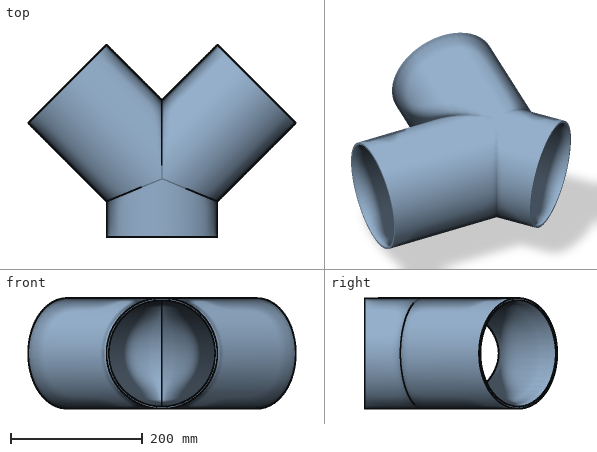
import cadquery as cq
import math

outer_diameter = 168.2
bore_diameter = 161.5
overall_width = 406.5
stem_length = 89.0
branch_angle = 45.0

outer_radius = outer_diameter / 2
tilt = math.radians(branch_angle)
branch_length = (overall_width / 2 - outer_radius * math.cos(tilt)) / math.sin(tilt)


def cylinder_from_junction(diameter, length, direction):
    return cq.Workplane(
        cq.Solid.makeCylinder(diameter / 2, length, cq.Vector(0, 0, 0), direction)
    )


def wye(diameter):
    """Solid stem along -Y joined to two branches leaning to -X and +X."""
    body = cylinder_from_junction(diameter, stem_length, cq.Vector(0, -1, 0))
    for side in (-1, 1):
        direction = cq.Vector(side * math.sin(tilt), math.cos(tilt), 0)
        body = body.union(cylinder_from_junction(diameter, branch_length, direction))
    return body


result = wye(outer_diameter).cut(wye(bore_diameter))